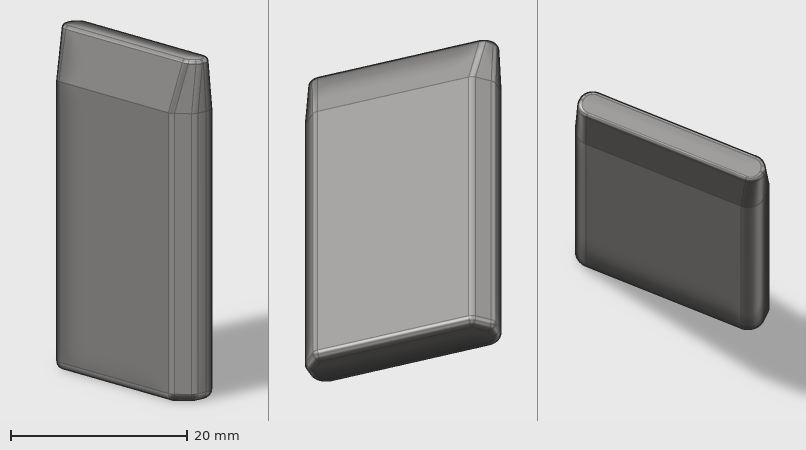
import cadquery as cq
import math

WIDTH = 23.2
DEPTH = 5.6
HEIGHT = 40.0

REAR_RADIUS = 2.0
BEVEL = 1.95
BEVEL_ANGLE = 45.0
BLEND_RADIUS = 1.0
BOTTOM_FILLET = 0.95

TAPER_HEIGHT = 6.1
TIP_WIDTH = 22.9
TIP_REAR_Y = 2.1
TIP_FRONT_Y = -1.1
TIP_RADIUS = 1.55
TIP_FILLET = 0.5
TIP_FRONT_PIECES = 3

SHOULDER_Z = HEIGHT - TAPER_HEIGHT


def on_arc(center, radius, degrees):
    """Point on a circle, with the angle counted from +X."""
    angle = math.radians(degrees)
    return (center[0] + radius * math.cos(angle), center[1] + radius * math.sin(angle))


def mirrored(point):
    return (-point[0], point[1])


def outline(z, right_pieces):
    """Closed outline symmetric about X = 0, from the +X pieces, rear to front.

    A piece has two points for a straight edge, three for an arc. Straight
    edges across the rear and the front join the two halves.
    """
    left_pieces = [[mirrored(p) for p in reversed(piece)] for piece in reversed(right_pieces)]
    rear_left = left_pieces[-1][-1]
    sketch = cq.Workplane("XY", origin=(0, 0, z)).moveTo(*rear_left)
    sketch = sketch.lineTo(*right_pieces[0][0])
    for piece in right_pieces:
        sketch = add_piece(sketch, piece)
    sketch = sketch.lineTo(*left_pieces[0][0])
    for piece in left_pieces:
        sketch = add_piece(sketch, piece)
    return sketch.close()


def add_piece(sketch, piece):
    if len(piece) == 2:
        return sketch.lineTo(*piece[1])
    return sketch.threePointArc(piece[1], piece[2])


def arc(center, radius, start, end):
    return [on_arc(center, radius, angle) for angle in (start, (start + end) / 2, end)]


def body_outline(z):
    """Rear corners rounded, front corners beveled and blended into the flats."""
    side_x = WIDTH / 2
    rear_y = DEPTH / 2
    front_y = -DEPTH / 2
    tangent_length = BLEND_RADIUS * math.tan(math.radians(BEVEL_ANGLE / 2))
    rear_center = (side_x - REAR_RADIUS, rear_y - REAR_RADIUS)
    side_center = (side_x - BLEND_RADIUS, front_y + BEVEL + tangent_length)
    front_center = (side_x - BEVEL - tangent_length, front_y + BLEND_RADIUS)

    rear = arc(rear_center, REAR_RADIUS, 90, 0)
    side_blend = arc(side_center, BLEND_RADIUS, 0, -BEVEL_ANGLE)
    front_blend = arc(front_center, BLEND_RADIUS, -BEVEL_ANGLE, -90)
    side = [rear[-1], side_blend[0]]
    bevel = [side_blend[-1], front_blend[0]]
    return outline(z, [rear, side, side_blend, bevel, front_blend])


def tip_outline(z):
    """Rounded bar whose front arcs are cut in three to pair with the body edges."""
    center_x = TIP_WIDTH / 2 - TIP_RADIUS
    front_center = (center_x, TIP_FRONT_Y + TIP_RADIUS)
    rear = arc((center_x, TIP_REAR_Y - TIP_RADIUS), TIP_RADIUS, 90, 0)
    step = 90 / TIP_FRONT_PIECES
    front = [arc(front_center, TIP_RADIUS, -step * i, -step * (i + 1)) for i in range(TIP_FRONT_PIECES)]
    side = [rear[-1], front[0][0]]
    return outline(z, [rear, side] + front)


body = body_outline(0).extrude(SHOULDER_Z).faces("<Z").edges().fillet(BOTTOM_FILLET)

shoulder_wire = body_outline(SHOULDER_Z).val()
tip_wire = tip_outline(HEIGHT).val()
taper = cq.Workplane(cq.Solid.makeLoft([shoulder_wire, tip_wire], True))
taper = taper.faces(">Z").edges().fillet(TIP_FILLET)

result = body.union(taper)